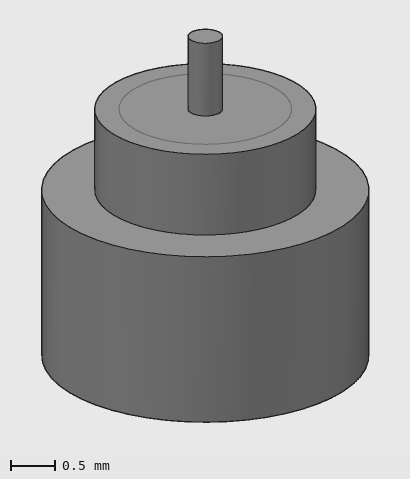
import cadquery as cq

body_diameter = 3.7
body_height = 2.05
collar_diameter = 2.5
collar_height = 1.0
insulator_diameter = 1.95
pin_diameter = 0.39
pin_height = 0.9

collar_top = body_height + collar_height


def cylinder(diameter, bottom, height):
    """Upright cylinder centred on the Z axis, starting at height `bottom`."""
    return cq.Workplane("XY").workplane(offset=bottom).circle(diameter / 2).extrude(height)


body = cylinder(body_diameter, 0, body_height)
collar = cylinder(collar_diameter, body_height, collar_height)
insulator = cylinder(insulator_diameter, body_height, collar_height)
pin = cylinder(pin_diameter, collar_top, pin_height)

shell = body.union(collar)
result = shell.union(insulator, clean=False).union(pin, clean=False)